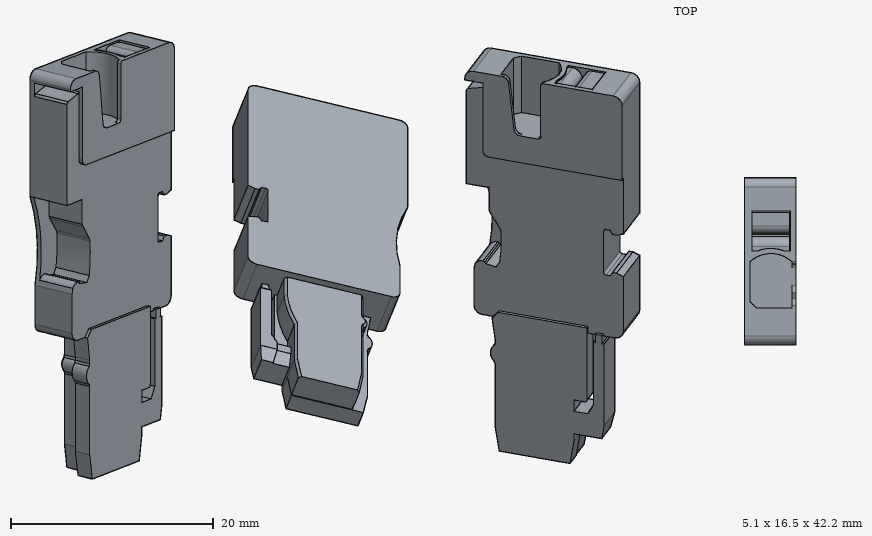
import cadquery as cq


HEIGHT = 42.25
DEPTH = 16.5
WIDTH = 5.1
SHELL_WIDTH = 4.7
SHELL_BOTTOM = 14.85
CORNER_RADIUS = 0.95
LOWER_FRONT_Y = 0.8
WAIST_TOP_Z = 29.25
WAIST_MID_Z = 23.4
WAIST_BOTTOM_Z = 19.8
WAIST_Y = 1.2

NOTCH_FLOOR_Y = 14.45
NOTCH_TOP = 26.83
NOTCH_BOTTOM = 21.7
NOTCH_TOOTH = 0.42
NOTCH_FILLET = 0.25

HEAD_PLATE_BOTTOM = 32.9
HEAD_PLATE_RADIUS = 0.65
LIP_SLOT_DEPTH = 1.9
LIP_SLOT_TOP = 41.1
LIP_SLOT_LEFT = 0.6

ENTRY_FLOOR = 35.9
ENTRY_LEFT = 0.55
ENTRY_FRONT = 3.68
ENTRY_SIDE_END = 8.25
ENTRY_BACK = 9.05
ENTRY_CHAMFER = 0.65
ENTRY_ARC_X = (ENTRY_LEFT + SHELL_WIDTH) / 2
ENTRY_RISE = ENTRY_BACK - ENTRY_SIDE_END
ENTRY_HALF = (SHELL_WIDTH - ENTRY_LEFT) / 2
ENTRY_RADIUS = (ENTRY_HALF**2 + ENTRY_RISE**2) / (2 * ENTRY_RISE)
ENTRY_ARC_Y = ENTRY_BACK - ENTRY_RADIUS
ENTRY_WALL = 0.5

POCKET_LEFT = 0.75
POCKET_RIGHT = 4.55
POCKET_FRONT = 9.3
POCKET_BACK = 13.22
BUTTON_GAP = 0.13
BUTTON_TOP = 42.1
BUTTON_GROOVE_Z = 41.05

RECESS_LEFT = 0.5

THIN_LEFT = 0.68
BLADE_SPLIT = 3.2
TONGUE_RIGHT = 5.03
BLADE_BACK_Y = 11.45
BLADE_TIP_BACK_Y = 11.03
BLADE_TAPER_Z = 2.6
BLADE_CHAMFER = 0.25
BUMP_Z = 10.9
BUMP_FLARE_Z = 0.25
BUMP_FLARE_Y = 0.1
THIN_TIP_Z = 0.1
SHOULDER_TOP = 15.6
RIB_BACK_Y = 12.8
RIB_BOTTOM = 7.22
RIB_RADIUS = 0.25

ARM_LEFT = 1.95
ARM_BACK = 14.6
ARM_FRONT = 13.48
ARM_TOP = 14.1
ARM_TOP_CHAMFER = 0.25
ARM_ELBOW_Z = 7.1
ARM_BOTTOM = 3.42
ARM_BEVEL_X = 0.5
ARM_BEVEL_TOP = 4.95
ARM_END_TAPER = 0.25
FOOT_FRONT = 12.9
FOOT_TOP = 5.95
FOOT_INSET = 0.13
NECK_BACK = 14.4
NECK_FRONT = 13.7

OVERCUT = 0.42
OVERLAP = 0.2


def side_sketch(x):
    """Sketch plane parallel to YZ at the given X, drawn in (Y, Z)."""
    return cq.Workplane("YZ", origin=(x, 0, 0))


def side_box(x0, x1, y0, y1, z0, z1):
    return cq.Workplane("XY").box(x1 - x0, y1 - y0, z1 - z0, centered=False).translate((x0, y0, z0))


def make_shell():
    """Flat block with rounded corners and a concave waist in the front."""
    return (
        side_sketch(0)
        .moveTo(LOWER_FRONT_Y, SHELL_BOTTOM)
        .lineTo(DEPTH, SHELL_BOTTOM)
        .lineTo(DEPTH, HEIGHT)
        .lineTo(0, HEIGHT)
        .lineTo(0, WAIST_TOP_Z)
        .threePointArc((WAIST_Y, WAIST_MID_Z), (LOWER_FRONT_Y, WAIST_BOTTOM_Z))
        .close()
        .extrude(SHELL_WIDTH)
        .edges("|X and (<Z or >Z)")
        .fillet(CORNER_RADIUS)
    )


def make_head_plate():
    """Plate that widens the upper part, with the front lip on top of it."""
    plate = side_box(
        SHELL_WIDTH - OVERLAP, WIDTH, LIP_SLOT_DEPTH, DEPTH, HEAD_PLATE_BOTTOM, HEIGHT
    )
    plate = plate.edges("|X and >Y and >Z").fillet(CORNER_RADIUS)
    plate = plate.edges("|X and <Y and <Z").fillet(HEAD_PLATE_RADIUS)
    lip = side_box(
        SHELL_WIDTH - OVERLAP, WIDTH, 0, LIP_SLOT_DEPTH + OVERLAP, LIP_SLOT_TOP, HEIGHT
    )
    return plate.union(lip.edges("|X and <Y and >Z").fillet(CORNER_RADIUS))


def rail_notch():
    """Notch through the back with a blunt tooth above and below its mouth."""
    tooth_back = 15.8
    tooth_front = 15.4
    mouth_flare = 0.25
    top_tooth_z = NOTCH_TOP - NOTCH_TOOTH
    bottom_tooth_z = NOTCH_BOTTOM + NOTCH_TOOTH
    return (
        side_sketch(-OVERCUT)
        .polyline([
            (DEPTH, top_tooth_z + mouth_flare),
            (tooth_back, top_tooth_z),
            (tooth_front, top_tooth_z),
            (tooth_front - mouth_flare, NOTCH_TOP),
            (NOTCH_FLOOR_Y, NOTCH_TOP),
            (NOTCH_FLOOR_Y, NOTCH_BOTTOM),
            (tooth_front - mouth_flare, NOTCH_BOTTOM),
            (tooth_front, bottom_tooth_z),
            (tooth_back, bottom_tooth_z),
            (DEPTH, bottom_tooth_z - mouth_flare),
        ])
        .close()
        .extrude(WIDTH + 2 * OVERCUT)
        .edges("|X and <Y")
        .fillet(NOTCH_FILLET)
    )


def lip_slot():
    """Slot below the front lip with a sloping floor, open on the +X side."""
    mouth_z = 39.7
    ramp_front = (0.15, 39.95)
    ramp_back = (1.77, 40.4)
    back_corner_z = 40.55
    return (
        side_sketch(LIP_SLOT_LEFT)
        .polyline([
            (-OVERCUT, LIP_SLOT_TOP),
            (LIP_SLOT_DEPTH, LIP_SLOT_TOP),
            (LIP_SLOT_DEPTH, back_corner_z),
            ramp_back,
            ramp_front,
            (0, mouth_z),
            (-OVERCUT, mouth_z),
        ])
        .close()
        .extrude(WIDTH)
    )


def finger_recess():
    """Hollow in the waist behind a thin side wall, with a rounded lip at its lower end."""
    roof_back_y = 2.4
    overhang_front_y = 2.55
    overhang_back_y = 3.55
    back_wall_top_y = 3.65
    overhang_top = 26.65
    overhang_bottom = 24.9
    edge_break_z = 0.25
    back_wall_mid = (3.68, 23.03)
    back_wall_foot = (3.5, 21.1)
    gutter_back = (3.13, 20.45)
    gutter_front = (2.05, 20.6)
    lip_back = (1.95, 20.8)
    lip_crest = (1.77, 20.87)
    lip_round = (1.2, 20.7)
    lip_foot_y = 0.85
    lip_foot_z = 20.2
    return (
        side_sketch(RECESS_LEFT)
        .moveTo(-OVERCUT, WAIST_TOP_Z)
        .lineTo(roof_back_y, WAIST_TOP_Z)
        .lineTo(roof_back_y, overhang_top)
        .lineTo(overhang_front_y, overhang_top - edge_break_z)
        .lineTo(overhang_back_y, overhang_bottom)
        .lineTo(back_wall_top_y, overhang_bottom - edge_break_z)
        .threePointArc(back_wall_mid, back_wall_foot)
        .lineTo(*gutter_back)
        .lineTo(*gutter_front)
        .lineTo(*lip_back)
        .lineTo(*lip_crest)
        .threePointArc(lip_round, (lip_foot_y, lip_foot_z))
        .lineTo(-OVERCUT, lip_foot_z)
        .close()
        .extrude(WIDTH)
    )


def wire_entry():
    """Funnel cut from the top, with an arc at the back and one bevelled corner."""
    return (
        cq.Workplane("XY", origin=(0, 0, ENTRY_FLOOR))
        .moveTo(ENTRY_LEFT + ENTRY_CHAMFER, ENTRY_FRONT)
        .lineTo(SHELL_WIDTH, ENTRY_FRONT)
        .lineTo(SHELL_WIDTH, ENTRY_SIDE_END)
        .threePointArc((ENTRY_ARC_X, ENTRY_BACK), (ENTRY_LEFT, ENTRY_SIDE_END))
        .lineTo(ENTRY_LEFT, ENTRY_FRONT + ENTRY_CHAMFER)
        .close()
        .extrude(HEIGHT + OVERCUT - ENTRY_FLOOR)
    )


def side_opening():
    """Opening of the wire entry through the head plate, with rounded flanks."""
    front_top = 3.95
    front_shoulder = 4.6
    front_foot = 5.15
    floor_front = 5.87
    floor_back = 7.65
    back_flank = 8.0
    shoulder_drop = front_shoulder - front_top
    foot_rise = floor_front - front_foot
    back_round = ENTRY_SIDE_END - back_flank
    back_foot = back_flank - floor_back
    return (
        side_sketch(SHELL_WIDTH)
        .moveTo(front_top, HEIGHT)
        .radiusArc((front_shoulder, HEIGHT - shoulder_drop), shoulder_drop)
        .lineTo(front_foot, ENTRY_FLOOR + foot_rise)
        .radiusArc((floor_front, ENTRY_FLOOR), -foot_rise)
        .lineTo(floor_back, ENTRY_FLOOR)
        .radiusArc((back_flank, ENTRY_FLOOR + back_foot), -back_foot)
        .lineTo(back_flank, HEIGHT - back_round)
        .radiusArc((ENTRY_SIDE_END, HEIGHT), back_round)
        .close()
        .extrude(WIDTH)
    )


def button_well(gap):
    """Button pocket from its floor to the top, smaller by a gap at the back and the +X side."""
    well = side_box(
        POCKET_LEFT, POCKET_RIGHT - gap, POCKET_FRONT, POCKET_BACK - gap, ENTRY_FLOOR, HEIGHT
    )
    entry_wall = (
        cq.Workplane("XY", origin=(ENTRY_ARC_X, ENTRY_ARC_Y, ENTRY_FLOOR))
        .circle(ENTRY_RADIUS + ENTRY_WALL)
        .extrude(HEIGHT - ENTRY_FLOOR)
    )
    return well.cut(entry_wall)


def thin_blade():
    """Inner blade of the tongue, bevelled around its -X face, with a snap bump in front."""
    front = 4.35
    tip_front = 4.75
    root_back = 12.5
    curve_top = 12.13
    curve_mid = (12.15, 10.05)
    curve_bottom = 8.1
    bump_half = 0.7
    bump_height = 0.42
    blade = (
        side_sketch(THIN_LEFT)
        .moveTo(root_back, SHELL_BOTTOM + OVERLAP)
        .lineTo(root_back, curve_top)
        .threePointArc(curve_mid, (BLADE_BACK_Y, curve_bottom))
        .lineTo(BLADE_BACK_Y, BLADE_TAPER_Z)
        .lineTo(BLADE_TIP_BACK_Y, THIN_TIP_Z)
        .lineTo(tip_front, THIN_TIP_Z)
        .lineTo(front, BLADE_TAPER_Z)
        .lineTo(front, BUMP_Z - bump_half - BUMP_FLARE_Z)
        .lineTo(front - BUMP_FLARE_Y, BUMP_Z - bump_half)
        .threePointArc((front - bump_height, BUMP_Z), (front - BUMP_FLARE_Y, BUMP_Z + bump_half))
        .lineTo(front, BUMP_Z + bump_half + BUMP_FLARE_Z)
        .lineTo(front, SHELL_BOTTOM + OVERLAP)
        .close()
        .extrude(BLADE_SPLIT - THIN_LEFT)
    )
    bevelled = blade.faces("<X").edges("not(<Z or >Z)")
    return bevelled.chamfer(BLADE_CHAMFER)


def thick_blade():
    """Outer blade of the tongue with its rib at the back and a snap bump in front."""
    front = 3.15
    tip_front = 3.6
    root_front = 2.85
    root_slope_z = 12.42
    shoulder_front = 3.45
    bump_half = 0.95
    bump_height = 0.5
    return (
        side_sketch(BLADE_SPLIT)
        .moveTo(RIB_BACK_Y, SHOULDER_TOP)
        .lineTo(RIB_BACK_Y, RIB_BOTTOM + RIB_RADIUS)
        .radiusArc((RIB_BACK_Y - RIB_RADIUS, RIB_BOTTOM), RIB_RADIUS)
        .lineTo(BLADE_BACK_Y, RIB_BOTTOM)
        .lineTo(BLADE_BACK_Y, BLADE_TAPER_Z)
        .lineTo(BLADE_TIP_BACK_Y, 0)
        .lineTo(tip_front, 0)
        .lineTo(front, BLADE_TAPER_Z)
        .lineTo(front, BUMP_Z - bump_half - BUMP_FLARE_Z)
        .lineTo(front - BUMP_FLARE_Y, BUMP_Z - bump_half)
        .threePointArc((front - bump_height, BUMP_Z), (front - BUMP_FLARE_Y, BUMP_Z + bump_half))
        .lineTo(front, BUMP_Z + bump_half + BUMP_FLARE_Z)
        .lineTo(front, root_slope_z)
        .lineTo(root_front, SHELL_BOTTOM)
        .lineTo(shoulder_front, SHOULDER_TOP)
        .close()
        .extrude(TONGUE_RIGHT - BLADE_SPLIT)
    )


def end_bevel(left):
    """Wedge that slants the lower end of the arm or its foot on the -X side."""
    return (
        cq.Workplane("XZ", origin=(0, DEPTH, 0))
        .polyline([
            (left, ARM_BOTTOM),
            (left + ARM_BEVEL_X, ARM_BOTTOM),
            (left, ARM_BEVEL_TOP),
        ])
        .close()
        .extrude(DEPTH)
    )


def latch_arm():
    """Hanging arm with a thin neck at the shell and a foot that joins the tongue."""
    arm = (
        side_sketch(ARM_LEFT)
        .polyline([
            (ARM_FRONT, ARM_TOP),
            (ARM_BACK, ARM_TOP),
            (ARM_BACK, ARM_BEVEL_TOP),
            (ARM_BACK - ARM_END_TAPER, ARM_BOTTOM),
            (FOOT_FRONT + ARM_END_TAPER, ARM_BOTTOM),
            (FOOT_FRONT, ARM_BEVEL_TOP),
            (FOOT_FRONT, FOOT_TOP),
            (ARM_FRONT, ARM_ELBOW_Z),
        ])
        .close()
        .extrude(TONGUE_RIGHT - ARM_LEFT)
        .edges("<X and >Z")
        .chamfer(ARM_TOP_CHAMFER)
        .cut(end_bevel(ARM_LEFT))
    )
    neck = side_box(
        ARM_LEFT + ARM_TOP_CHAMFER,
        TONGUE_RIGHT,
        NECK_FRONT,
        NECK_BACK,
        ARM_TOP - OVERLAP,
        SHELL_BOTTOM + OVERLAP,
    )
    foot_left = ARM_LEFT + FOOT_INSET
    foot = side_box(
        foot_left,
        TONGUE_RIGHT,
        BLADE_BACK_Y - OVERLAP,
        FOOT_FRONT + 2 * ARM_END_TAPER,
        ARM_BOTTOM,
        FOOT_TOP,
    ).cut(end_bevel(foot_left))
    return arm.union(neck).union(foot)


def make_housing():
    housing = make_shell().union(make_head_plate())
    for tool in (
        rail_notch(),
        lip_slot(),
        finger_recess(),
        wire_entry(),
        side_opening(),
        button_well(0),
    ):
        housing = housing.cut(tool)
    for piece in (thin_blade(), thick_blade(), latch_arm()):
        housing = housing.union(piece)
    return housing


def make_button():
    """Push button that fills its pocket, with a rounded step and a groove across the top."""
    step_back = 11.75
    step_front = 11.05
    groove_back = 10.9
    groove_front = 10.75
    ramp_front = 9.7
    step_radius = step_back - step_front
    ramp_radius = groove_front - ramp_front
    side_profile = (
        side_sketch(0)
        .moveTo(0, ENTRY_FLOOR)
        .lineTo(DEPTH, ENTRY_FLOOR)
        .lineTo(DEPTH, BUTTON_TOP)
        .lineTo(step_back, BUTTON_TOP)
        .radiusArc((step_front, BUTTON_TOP - step_radius), -step_radius)
        .lineTo(groove_back, BUTTON_GROOVE_Z)
        .lineTo(groove_front, BUTTON_GROOVE_Z)
        .radiusArc((ramp_front, BUTTON_TOP), -ramp_radius)
        .lineTo(0, BUTTON_TOP)
        .close()
        .extrude(WIDTH)
    )
    return button_well(BUTTON_GAP).intersect(side_profile)


housing = make_housing()
button = make_button()

result = cq.Compound.makeCompound([housing.solids().val(), button.solids().val()])